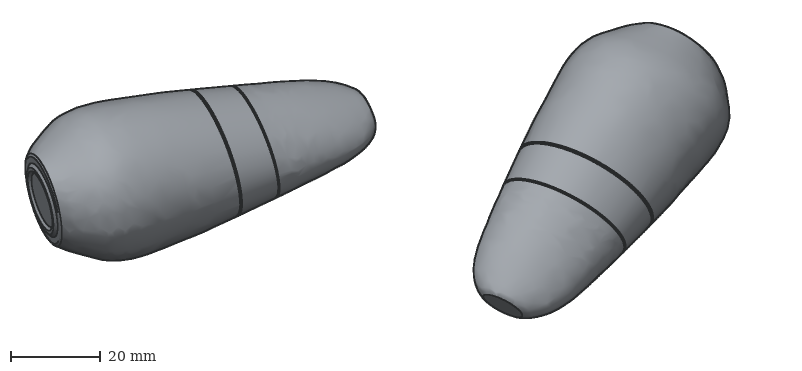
import cadquery as cq

LENGTH = 78.5
FACE_Y = 0.6
LOWER_JOINT = 41.45
UPPER_JOINT = 51.1
LOWER_GROOVE_WIDTH = 0.5
UPPER_GROOVE_WIDTH = 0.3
GROOVE_DEPTH = 0.2
TRIM_MARGIN = 0.8

HANDLE_STATIONS = [
    (FACE_Y, 10.9, 10.05),
    (5.1, 15.6, 11.85),
    (7.9, 17.75, 13.1),
    (10.75, 19.15, 14.3),
    (13.6, 19.7, 15.15),
    (16.5, 19.85, 15.55),
    (22.1, 19.5, 15.4),
    (30.7, 18.6, 14.3),
    (36.35, 18.0, 13.2),
    (LOWER_JOINT, 17.3, 12.1),
]
TIP_STATIONS = [
    (UPPER_JOINT, 15.8, 10.05),
    (59.1, 14.45, 8.4),
    (67.6, 12.7, 6.5),
    (72.15, 11.15, 5.25),
    (75.0, 9.5, 4.4),
    (77.1, 7.5, 3.8),
    (LENGTH, 5.0, 2.6),
]
BAND_STATIONS = [HANDLE_STATIONS[-1], TIP_STATIONS[0]]

RIM_CHAMFER = 0.4

BEAD_OUTER_FOOT = (9.2, 8.0)
BEAD_OUTER_CREST = (8.25, 7.2)
BEAD_INNER_CREST = (7.45, 6.35)
BEAD_INNER_FOOT = (6.8, 5.65)


def ellipse_wire(y, half_x, half_z):
    """Ellipse across the grip axis at distance y."""
    plane = cq.Plane(origin=(0, y, 0), xDir=(1, 0, 0), normal=(0, 1, 0))
    return cq.Workplane(plane).ellipse(half_x, half_z).wires().val()


def lofted(stations):
    """Smooth solid through a list of elliptical stations."""
    wires = [ellipse_wire(*station) for station in stations]
    return cq.Workplane(cq.occ_impl.shapes.loft(wires, cap=True, parametrization="chordal"))


def joint_step(station, width, direction):
    """Ring that trims half a joint groove from the body on one side of the joint."""
    y, half_x, half_z = station
    half_groove = direction * width / 2
    plane = cq.Plane(origin=(0, y, 0), xDir=(1, 0, 0), normal=(0, 1, 0))
    outer = cq.Workplane(plane).ellipse(half_x + TRIM_MARGIN, half_z + TRIM_MARGIN).extrude(half_groove)
    core = cq.Workplane(plane).ellipse(half_x - GROOVE_DEPTH, half_z - GROOVE_DEPTH).extrude(half_groove)
    return outer.cut(core)


def frustum(start, end):
    """Straight-sided solid between two elliptical stations."""
    return cq.Workplane(cq.Solid.makeLoft([ellipse_wire(*start), ellipse_wire(*end)], True))


def make_bead():
    """Raised elliptical ring with sloped sides and a narrow flat crest."""
    outer = frustum((FACE_Y, *BEAD_OUTER_FOOT), (0, *BEAD_OUTER_CREST))
    inner = frustum((FACE_Y, *BEAD_INNER_FOOT), (0, *BEAD_INNER_CREST))
    return outer.cut(inner)


def make_handle():
    """Bulbous lower body with chamfered butt rim and bead."""
    handle = lofted(HANDLE_STATIONS).faces("<Y").chamfer(RIM_CHAMFER)
    handle = handle.cut(joint_step(HANDLE_STATIONS[-1], LOWER_GROOVE_WIDTH, -1))
    return handle.union(make_bead())


def make_band():
    """Short tapered ring of the grip between the two joints."""
    band = frustum(*BAND_STATIONS)
    band = band.cut(joint_step(BAND_STATIONS[0], LOWER_GROOVE_WIDTH, 1))
    return band.cut(joint_step(BAND_STATIONS[1], UPPER_GROOVE_WIDTH, -1))


def make_tip():
    """Flattened, rounded end of the grip."""
    tip = lofted(TIP_STATIONS)
    return tip.cut(joint_step(TIP_STATIONS[0], UPPER_GROOVE_WIDTH, 1))


handle = make_handle()
band = make_band()
tip = make_tip()

result = cq.Compound.makeCompound([handle.val(), band.val(), tip.val()])